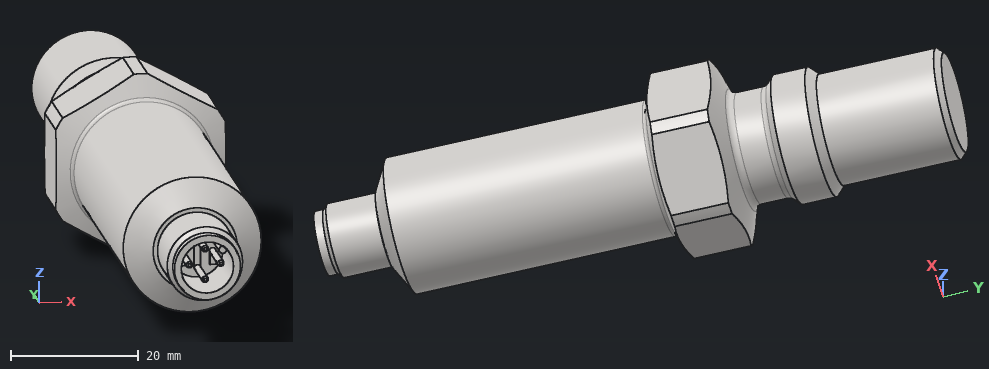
import cadquery as cq
import math

LENGTH = 102.6

PLUG_DIA = 18.0
PLUG_CHAMFER = 1.0
COLLAR_DIA = 20.95
COLLAR_START = 20.0
COLLAR_END = 28.5
COLLAR_CHAMFER = (COLLAR_DIA - PLUG_DIA) / 2
PLUG_ROOT_RADIUS = 1.25

HEX_ACROSS_FLATS = 27.0
HEX_CORNER_DIA = 30.0
HEX_START = 36.45
HEX_END = 45.75
HEX_CONE_ANGLE = 20.0

BODY_DIA = 22.0
BODY_ROOT_RADIUS = 0.75
BODY_END = 92.2
BODY_END_FACE_DIA = 13.4
BODY_TAPER_ANGLE = 30.0

NOSE_DIA = 12.0
TIP_DIA = 10.5
TIP_LENGTH = 1.45
BORE_DIA = 8.3
BORE_DEPTH = 9.0
PIN_DIA = 1.0
PIN_CIRCLE_DIA = 5.0
PIN_COUNT = 4
PIN_CHAMFER = 0.25
PIN_RECESS = 1.75
TAIL_HEIGHT = 0.5
SIDE_TAIL_LENGTH = 2.1
KEY_WIDTH = 1.2
KEY_REACH = 3.05
KEY_ANGLE = 45.0
KEY_RECESS = 0.7


def axial_run(start_dia, end_dia, angle):
    """Axial length of a cone whose side makes `angle` with the face plane."""
    return abs(end_dia - start_dia) / 2 * math.tan(math.radians(angle))


def outer_profile():
    """Half outline of the turned part as (radius, Y) points."""
    plug_r = PLUG_DIA / 2
    collar_r = COLLAR_DIA / 2
    hex_r = HEX_CORNER_DIA / 2
    body_r = BODY_DIA / 2
    nose_r = NOSE_DIA / 2
    tip_r = TIP_DIA / 2
    tip_start = LENGTH - TIP_LENGTH
    stations = [
        (0, 0),
        (plug_r - PLUG_CHAMFER, 0),
        (plug_r, PLUG_CHAMFER),
        (plug_r, COLLAR_START),
        (collar_r, COLLAR_START + COLLAR_CHAMFER),
        (collar_r, COLLAR_END - COLLAR_CHAMFER),
        (plug_r, COLLAR_END),
        (plug_r, HEX_START - axial_run(PLUG_DIA, HEX_CORNER_DIA, HEX_CONE_ANGLE)),
        (hex_r, HEX_START),
        (hex_r, HEX_END),
        (body_r, HEX_END + axial_run(BODY_DIA, HEX_CORNER_DIA, HEX_CONE_ANGLE)),
        (body_r, BODY_END - axial_run(BODY_END_FACE_DIA, BODY_DIA, BODY_TAPER_ANGLE)),
        (BODY_END_FACE_DIA / 2, BODY_END),
        (nose_r, BODY_END),
        (nose_r, tip_start - (nose_r - tip_r)),
        (tip_r, tip_start),
        (tip_r, LENGTH),
        (0, LENGTH),
    ]
    return [(radius, -distance) for radius, distance in stations]


def round_edge(solid, distance, fillet_radius):
    """Fillet the circular edges lying at one axial station."""
    margin = 0.05
    span = HEX_CORNER_DIA
    box = cq.selectors.BoxSelector(
        (-span, -distance - margin, -span), (span, -distance + margin, span), boundingbox=True
    )
    return solid.edges(box).edges("%CIRCLE").fillet(fillet_radius)


def turned_body():
    body = cq.Workplane("XY").polyline(outer_profile()).close().revolve(360, (0, 0), (0, 1))
    hex_front_root = HEX_START - axial_run(PLUG_DIA, HEX_CORNER_DIA, HEX_CONE_ANGLE)
    hex_rear_root = HEX_END + axial_run(BODY_DIA, HEX_CORNER_DIA, HEX_CONE_ANGLE)
    body = round_edge(body, COLLAR_END, PLUG_ROOT_RADIUS)
    body = round_edge(body, hex_front_root, PLUG_ROOT_RADIUS)
    return round_edge(body, hex_rear_root, BODY_ROOT_RADIUS)


def hex_envelope():
    """Hexagonal bar with flats facing +X and -X; limits the flange."""
    across_corners = HEX_ACROSS_FLATS / math.cos(math.pi / 6)
    return (
        cq.Workplane("XZ")
        .transformed(rotate=(0, 0, 90))
        .polygon(6, across_corners)
        .extrude(LENGTH)
    )


def connector_plane(distance):
    """Workplane across the axis, with its normal towards the connector tip."""
    return cq.Workplane("XZ", origin=(0, -distance, 0))


def bore():
    return connector_plane(LENGTH - BORE_DEPTH).circle(BORE_DIA / 2).extrude(BORE_DEPTH)


def pins():
    return (
        connector_plane(LENGTH - BORE_DEPTH)
        .polarArray(PIN_CIRCLE_DIA / 2, 0, 360, PIN_COUNT)
        .circle(PIN_DIA / 2)
        .extrude(BORE_DEPTH - PIN_RECESS)
        .faces("<Y")
        .chamfer(PIN_CHAMFER)
    )


def contact_tail(x, top, length):
    """Strip as wide as a pin, running along the bore floor from `top` towards -Z."""
    return (
        connector_plane(LENGTH - BORE_DEPTH)
        .center(x, top - length / 2)
        .rect(PIN_DIA, length)
        .extrude(TAIL_HEIGHT)
    )


def contact_tails():
    """One tail joins the upper and lower pins; each side pin has a short one."""
    pin_r = PIN_CIRCLE_DIA / 2
    tails = contact_tail(0, pin_r, PIN_CIRCLE_DIA)
    for side in (-1, 1):
        tails = tails.union(contact_tail(side * pin_r, 0, SIDE_TAIL_LENGTH))
    return tails


def coding_key():
    """Rib with a round crest running along the bore wall."""
    crest_centre = KEY_REACH + KEY_WIDTH / 2
    length = BORE_DEPTH - KEY_RECESS
    base = connector_plane(LENGTH - BORE_DEPTH).transformed(rotate=(0, 0, KEY_ANGLE))
    return base.center(crest_centre, 0).circle(KEY_WIDTH / 2).extrude(length)


housing = turned_body().intersect(hex_envelope()).cut(bore())
contacts = pins().union(contact_tails())
result = housing.union(contacts).union(coding_key())